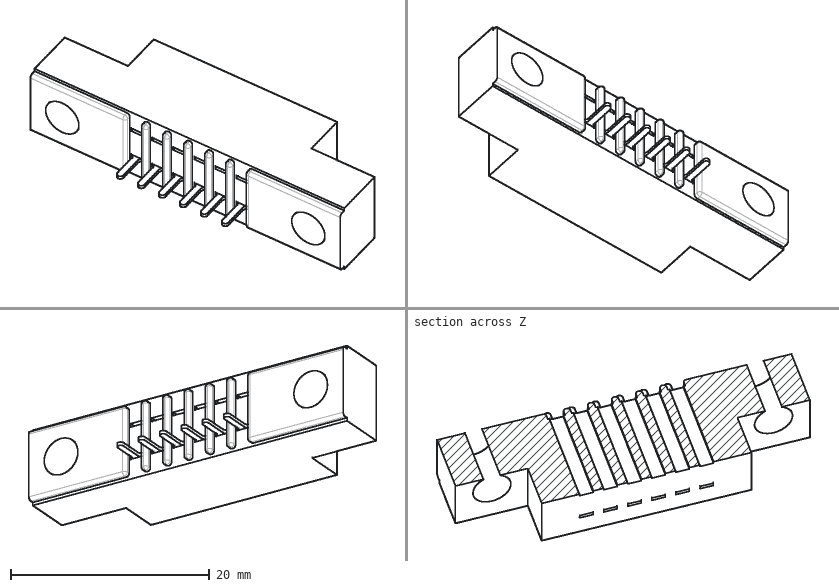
import cadquery as cq

length = 37.47
height = 8.4
total_depth = 13.65
face_projection = 0.75
pin_projection = 3.37
block_depth = total_depth - pin_projection
mating_length = 22.2
mating_depth = 4.72

face_inset = 0.35
pad_gap = 14.45
pad_length = (length - pad_gap) / 2
pad_centre = (length - pad_length) / 2
raised_height = height - 2 * face_inset
rib_width = 0.75
ridge_flat = 0.05
edge_radius = (rib_width - ridge_flat) / 2

hole_diameter = 4.0
hole_spacing = 29.75

contact_count = 6
contact_span = 12.7
contact_pitch = contact_span / (contact_count - 1)
slot_width = 1.42
contact_thickness = 0.37
row_height = 1.8
pin_width = 0.7

contact_positions = [(i - (contact_count - 1) / 2) * contact_pitch for i in range(contact_count)]
rib_positions = [x + contact_pitch / 2 for x in contact_positions[:-1]]


def make_block():
    """T-shaped block, wide at the front and narrower at the rear."""
    flange_depth = block_depth - mating_depth
    flange = cq.Workplane("XY").box(length, flange_depth, height, centered=(True, False, True))
    mating = cq.Workplane("XY").box(mating_length, block_depth, height, centered=(True, False, True))
    return flange.union(mating)


def make_raised_bar(x_centre, width):
    """Bar standing on the block face, with its back against the face."""
    bar = cq.Workplane("XY").box(width, face_projection, raised_height, centered=(True, False, True))
    return bar.translate((x_centre, -face_projection, 0))


def make_pad(side):
    """Mounting pad, rounded everywhere but on its outer end; side is -1 or 1."""
    outer_end = ">X" if side > 0 else "<X"
    pad = make_raised_bar(side * pad_centre, pad_length)
    return pad.edges(f"not (>Y or {outer_end})").fillet(edge_radius)


def make_rib(x_centre):
    """Separator rib between two contacts, rounded all over its exposed edges."""
    return make_raised_bar(x_centre, rib_width).edges("not >Y").fillet(edge_radius)


def make_slots():
    """Two rows of contact slots that pass through the block."""
    centres = [(x, z) for x in contact_positions for z in (-row_height, row_height)]
    return (
        cq.Workplane("XZ")
        .pushPoints(centres)
        .rect(slot_width, contact_thickness)
        .extrude(-block_depth)
    )


def make_mounting_holes():
    """Round holes through the pads and the block."""
    return (
        cq.Workplane("XZ", origin=(0, -face_projection, 0))
        .pushPoints([(-hole_spacing / 2, 0), (hole_spacing / 2, 0)])
        .circle(hole_diameter / 2)
        .extrude(-(face_projection + block_depth))
    )


def make_housing():
    body = make_block()
    for side in (-1, 1):
        body = body.union(make_pad(side))
    for x in rib_positions:
        body = body.union(make_rib(x))
    return body.cut(make_slots()).cut(make_mounting_holes())


def make_contact(x_centre):
    """Flat contact: a blade that fills its lower slot, flared into a round-tipped pin."""
    half_slot = slot_width / 2
    half_pin = pin_width / 2
    flare = half_slot - half_pin
    tip_start = half_pin - pin_projection
    outline = (
        cq.Workplane("XY", origin=(x_centre, 0, -row_height - contact_thickness / 2))
        .moveTo(-half_slot, block_depth)
        .lineTo(-half_slot, 0)
        .radiusArc((-half_pin, -flare), flare)
        .lineTo(-half_pin, tip_start)
        .threePointArc((0, -pin_projection), (half_pin, tip_start))
        .lineTo(half_pin, -flare)
        .radiusArc((half_slot, 0), flare)
        .lineTo(half_slot, block_depth)
        .close()
    )
    return outline.extrude(contact_thickness)


housing = make_housing()
contacts = [make_contact(x) for x in contact_positions]

result = cq.Compound.makeCompound([housing.val(), *[contact.val() for contact in contacts]])